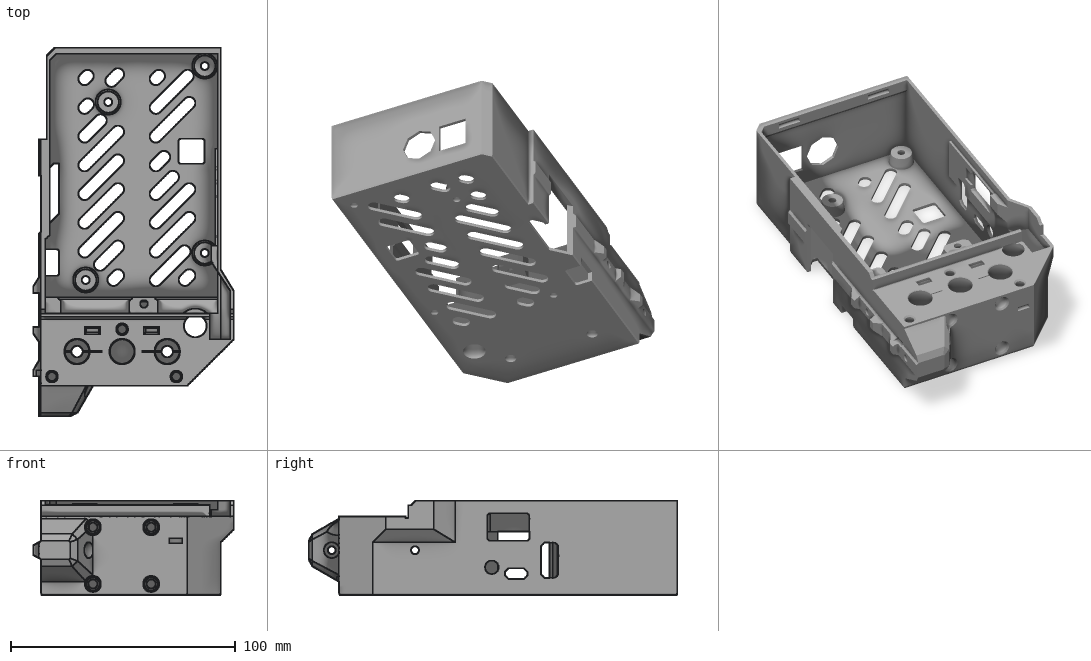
import cadquery as cq
import math

WIDTH = 80.0
BACK = 150.44
HEIGHT = 42.0
BLOCK_TOP = 35.0
FLOOR = 1.5
WALL = 1.5
CLEAR = 1.0
RIGHT_INNER = WIDTH - WALL

FOOT_HEIGHT = 1.0
FOOT_INSET = 0.3

STEP_X = 2.5
STEP_Y = 109.7
BACK_CHAMFER = 3.6
FRONT_CORNER_X = 65.0

THICK_INNER = STEP_X + WALL
THIN_INNER = 2.0
THIN_START_Y = 65.2
CAVITY_FRONT = 39.5
BACK_RIM = 2.8
BACK_INNER = BACK - BACK_RIM
INNER_CHAMFER = 2.8

CROSS_WALL_TOP = 40.0
CROSS_WALL_FRONT = 30.7
CROSS_WALL_BACK = 32.3
CROSS_WALL_END_X = 75.0
SEAT_GROOVE_WIDTH = 1.1
SEAT_GROOVE_DEPTH = 0.6
WALL_END_Y = 34.0

RAMP_FOOT_Y = 38.5
TAB_TOP = 38.5
TAB_LIP = 6.0
TAB_CHAMFER = 1.7
TAB_HOLE_DEPTH = 8.0

CABLE_HOLE = (68.6, 26.7)
CABLE_HOLE_DIAMETER = 10.0
CABLE_BOSS_DIAMETER = 15.4

POCKET_MIDDLE_X = 36.1
POCKET_ROW_Y = 15.3
POCKET_SPACING = 20.05
POCKET_DEPTH = 12.0

FLARE_X = 85.8
FLARE_INNER_X = 84.2
FLARE_START_Y = 51.7
FLARE_FULL_Y = 42.2
PAD_DEPTH = 1.0
PAD_FRONT = 62.4
PAD_BACK = 105.4
RIB_X = 75.6
RIB_CORNER_Y = 55.4
FLARE_INNER_SLOPE = (RIB_CORNER_Y - FLARE_FULL_Y) / (FLARE_INNER_X - RIB_X)
RIB_FRONT = FLARE_FULL_Y + FLARE_INNER_SLOPE * (FLARE_INNER_X - RIGHT_INNER)
FLARE_FRONT_Y = FLARE_X - FRONT_CORNER_X
FLARE_BOTTOM = 23.5
FLARE_FLOOR = 25.7
RAMP_TOP = FLARE_FLOOR + 0.4

RAIL_Z = 20.0
RAIL_DEPTH = 0.9
RAIL_ROOT = 8.2
RAIL_FACE = 6.4
RAIL_BACK_END = 93.5
RAIL_FRONT_START = 68.6
NOSE_LENGTH = 13.5
NOSE_ROOT_WIDTH = 23.1
TOOTH_X = -3.5
TOOTH_TIP_HEIGHT = 4.2
TEETH = [(48.3, 44.2, 41.3), (19.6, 23.4, 26.3), (11.3, 7.0, 4.3)]

WINDOW_TOP = 28.2
FLOOR_OPENING_X = 8.0
FLOOR_OPENING_RADIUS = 1.0

SLOT_WIDTH = 5.4
SLOT_PITCH = 12.77
SLOT_FIRST_Y = 34.3

SCREW_HOLE = 3.4
STANDOFFS = [(72.8, 142.2), (29.9, 126.2), (72.8, 59.1), (19.9, 47.1)]
STANDOFF_TOP = 6.8
STANDOFF_BASE_DIAMETER = 11.2
STANDOFF_TOP_DIAMETER = 9.4

UP = (0, 0, 1)
DOWN = (0, 0, -1)
RIGHTWARD = (1, 0, 0)
REARWARD = (0, 1, 0)


def block(x, y, z):
    """Axis-parallel box given by its (low, high) pair along each axis."""
    size = (x[1] - x[0], y[1] - y[0], z[1] - z[0])
    return cq.Workplane("XY").box(*size, centered=False).translate((x[0], y[0], z[0]))


def prism_z(points, z0, z1):
    """Prism over an XY outline."""
    return cq.Workplane("XY").workplane(offset=z0).polyline(points).close().extrude(z1 - z0)


def prism_x(points, x0, x1):
    """Prism along X over a YZ outline."""
    return cq.Workplane("YZ").workplane(offset=x0).polyline(points).close().extrude(x1 - x0)


def prism_y(points, y0, y1):
    """Prism along Y over an XZ outline."""
    return cq.Workplane("XZ").workplane(offset=-y0).polyline(points).close().extrude(y0 - y1)


def rod(start, direction, diameter, length):
    """Cylinder that starts at a point and runs along a direction."""
    return cq.Workplane(cq.Solid.makeCylinder(
        diameter / 2, length, cq.Vector(*start), cq.Vector(*direction)))


def cone(start, direction, diameter, end_diameter, length):
    """Truncated cone that starts at a point and runs along a direction."""
    return cq.Workplane(cq.Solid.makeCone(
        diameter / 2, end_diameter / 2, length, cq.Vector(*start), cq.Vector(*direction)))


def chamfered_window(y, z, chamfer, x):
    """Window along X with chamfered corners."""
    return block(x, y, z).edges("|X").chamfer(chamfer)


def make_shell():
    outline = [
        (0, 0),
        (FRONT_CORNER_X, 0),
        (WIDTH, WIDTH - FRONT_CORNER_X),
        (WIDTH, BACK),
        (STEP_X + BACK_CHAMFER, BACK),
        (STEP_X, BACK - BACK_CHAMFER),
        (STEP_X, STEP_Y),
        (0, STEP_Y),
    ]
    taper = math.degrees(math.atan2(FOOT_INSET, FOOT_HEIGHT))
    foot = (cq.Workplane("XY").workplane(offset=FOOT_HEIGHT).polyline(outline).close()
            .extrude(-FOOT_HEIGHT, taper=taper))
    return prism_z(outline, FOOT_HEIGHT, HEIGHT).union(foot)


def make_cavity():
    shift = THICK_INNER - THIN_INNER
    outline = [
        (THIN_INNER, CAVITY_FRONT),
        (RIGHT_INNER, CAVITY_FRONT),
        (RIGHT_INNER, BACK_INNER),
        (THICK_INNER + INNER_CHAMFER, BACK_INNER),
        (THICK_INNER, BACK_INNER - INNER_CHAMFER),
        (THICK_INNER, THIN_START_Y + shift),
        (THIN_INNER, THIN_START_Y),
    ]
    return prism_z(outline, FLOOR, HEIGHT + CLEAR)


def make_back_recess():
    """Thins the rear wall below its rim; the rim's underside is tapered."""
    recess_top = 34.5
    rim_bottom = 36.4
    profile = [
        (BACK_INNER - CLEAR, FLOOR),
        (BACK - WALL, FLOOR),
        (BACK - WALL, recess_top),
        (BACK_INNER, rim_bottom),
        (BACK_INNER - CLEAR, rim_bottom),
    ]
    return prism_x(profile, THICK_INNER + INNER_CHAMFER, RIGHT_INNER)


def make_flare():
    plan = prism_z([
        (RIGHT_INNER, FLARE_START_Y),
        (WIDTH, FLARE_START_Y),
        (FLARE_X, FLARE_FULL_Y),
        (FLARE_X, FLARE_FRONT_Y),
        (WIDTH, WIDTH - FRONT_CORNER_X),
        (RIGHT_INNER, WIDTH - FRONT_CORNER_X),
    ], 0, HEIGHT)
    section = prism_y([
        (RIGHT_INNER, FLARE_BOTTOM),
        (WIDTH, FLARE_BOTTOM),
        (FLARE_X, FLARE_BOTTOM + FLARE_X - WIDTH),
        (FLARE_X, HEIGHT),
        (RIGHT_INNER, HEIGHT),
    ], 0, FLARE_START_Y)
    return plan.intersect(section)


def make_flare_channel():
    """Cable channel inside the flare, with a sloped floor on its right."""
    plan = prism_z([
        (CROSS_WALL_END_X, FLARE_FRONT_Y),
        (FLARE_INNER_X, FLARE_FRONT_Y),
        (FLARE_INNER_X, FLARE_FULL_Y),
        (RIGHT_INNER, RIB_FRONT),
        (RIGHT_INNER, CROSS_WALL_BACK),
        (CROSS_WALL_END_X, CROSS_WALL_BACK),
    ], 0, HEIGHT + CLEAR)
    section = prism_y([
        (CROSS_WALL_END_X, FLARE_FLOOR),
        (WIDTH, FLARE_FLOOR),
        (FLARE_INNER_X, FLARE_FLOOR + FLARE_INNER_X - WIDTH),
        (FLARE_INNER_X, HEIGHT + CLEAR),
        (CROSS_WALL_END_X, HEIGHT + CLEAR),
    ], 0, RIB_FRONT)
    return plan.intersect(section)


def make_front_trim():
    """Removes everything above the stepped top of the front part."""
    drop = HEIGHT - CROSS_WALL_TOP
    groove_floor = BLOCK_TOP - SEAT_GROOVE_DEPTH
    groove_front = CROSS_WALL_FRONT - SEAT_GROOVE_WIDTH
    profile = [
        (WALL_END_Y, HEIGHT),
        (WALL_END_Y - drop, CROSS_WALL_TOP),
        (CROSS_WALL_FRONT, CROSS_WALL_TOP),
        (CROSS_WALL_FRONT, groove_floor),
        (groove_front, groove_floor),
        (groove_front, BLOCK_TOP),
        (-CLEAR, BLOCK_TOP),
        (-CLEAR, HEIGHT + CLEAR),
        (WALL_END_Y, HEIGHT + CLEAR),
    ]
    return prism_x(profile, -CLEAR, FLARE_X + CLEAR)


def make_ramp_cut():
    """Clears the space above the ramp behind the cross wall."""
    ramp_foot_z = RAMP_TOP - (RAMP_FOOT_Y - CROSS_WALL_BACK)
    profile = [
        (CROSS_WALL_BACK, RAMP_TOP),
        (RAMP_FOOT_Y, ramp_foot_z),
        (CAVITY_FRONT, ramp_foot_z),
        (CAVITY_FRONT, HEIGHT + CLEAR),
        (CROSS_WALL_BACK, HEIGHT + CLEAR),
    ]
    return prism_x(profile, THIN_INNER, RIGHT_INNER)


def make_cable_boss():
    """Part of the thickened wall around the cable hole that stands out of the ramp."""
    ramp_bottom = RAMP_TOP - (CAVITY_FRONT - CROSS_WALL_BACK)
    boss = rod((*CABLE_HOLE, ramp_bottom), UP, CABLE_BOSS_DIAMETER, BLOCK_TOP - ramp_bottom)
    return boss.intersect(block((0, RIGHT_INNER), (CROSS_WALL_BACK, CAVITY_FRONT), (0, HEIGHT)))


def make_lid_tab(x0, x1, chamfered_edges):
    """Lid support bracketed off the cross wall, with a 45 degree underside."""
    lip_bottom = TAB_TOP - TAB_LIP
    profile = [
        (CROSS_WALL_BACK, TAB_TOP),
        (CAVITY_FRONT, TAB_TOP),
        (CAVITY_FRONT, lip_bottom),
        (CROSS_WALL_BACK, lip_bottom - (CAVITY_FRONT - CROSS_WALL_BACK)),
    ]
    return prism_x(profile, x0, x1).edges(chamfered_edges).chamfer(TAB_CHAMFER)


def make_lid_tabs():
    """Left and middle lid tabs, the middle one with a screw hole."""
    left_end = 8.9
    middle_start = 39.3
    middle_end = 52.0
    hole_x = 45.8
    hole_y = 36.5
    left = make_lid_tab(THIN_INNER, left_end, "|Z and >X and >Y")
    middle = make_lid_tab(middle_start, middle_end, "|Z and >Y")
    hole = rod((hole_x, hole_y, TAB_TOP), DOWN, SCREW_HOLE, TAB_HOLE_DEPTH)
    return left.union(middle.cut(hole))


def make_rail(y0, y1):
    """Trapezoidal rail on the left face."""
    root = RAIL_ROOT / 2
    face = RAIL_FACE / 2
    return prism_y([
        (CLEAR, RAIL_Z - root),
        (0, RAIL_Z - root),
        (-RAIL_DEPTH, RAIL_Z - face),
        (-RAIL_DEPTH, RAIL_Z + face),
        (0, RAIL_Z + root),
        (CLEAR, RAIL_Z + root),
    ], y0, y1)


def make_tooth(slope_y, tip_y, end_y):
    """Rail tooth: a slope out to a narrow tip that ends in a square shoulder."""
    plan = prism_z([
        (0, slope_y),
        (-RAIL_DEPTH, slope_y),
        (TOOTH_X, tip_y),
        (TOOTH_X, end_y),
        (0, end_y),
    ], 0, HEIGHT)
    root = RAIL_ROOT / 2
    tip = TOOTH_TIP_HEIGHT / 2
    section = prism_y([
        (0, RAIL_Z - root),
        (TOOTH_X, RAIL_Z - tip),
        (TOOTH_X, RAIL_Z + tip),
        (0, RAIL_Z + root),
    ], min(slope_y, end_y), max(slope_y, end_y))
    return plan.intersect(section)


def make_rail_notch():
    """Small notch in the left wall, just above the foremost tooth."""
    notch_depth = 1.0
    return block((TOOTH_X, notch_depth), (1.3, 7.0), (22.9, 25.3))


def nose_section(y, width, height, chamfer):
    """Closed nose cross-section at a given Y, flat on the left, chamfered on the right."""
    half = height / 2
    corners = [
        (0, -half),
        (width - chamfer, -half),
        (width, -half + chamfer),
        (width, half - chamfer),
        (width - chamfer, half),
        (0, half),
    ]
    points = [cq.Vector(x, y, RAIL_Z + z) for x, z in corners]
    return cq.Wire.makePolygon(points, close=True)


def make_nose():
    shoulder_y = -11.8
    root = nose_section(0, NOSE_ROOT_WIDTH, 28.0, 3.0)
    shoulder = nose_section(shoulder_y, 16.3, 14.4, 2.4)
    tip = nose_section(-NOSE_LENGTH, 13.0, RAIL_ROOT, 0.5)
    rear = cq.Solid.makeLoft([root, shoulder], True)
    front = cq.Solid.makeLoft([shoulder, tip], True)
    return cq.Workplane(rear).union(cq.Workplane(front))


def make_side_holes():
    """Two cross holes through the rail; the nose one has a counterbore from the right."""
    nose_y = -3.2
    start = -CLEAR + TOOTH_X
    long_hole = rod((start, 33.8, RAIL_Z), RIGHTWARD, SCREW_HOLE, FLARE_X - start + CLEAR)
    nose_hole = rod((start, nose_y, RAIL_Z), RIGHTWARD, SCREW_HOLE, WIDTH)
    counterbore_x = 12.0
    counterbore = rod((counterbore_x, nose_y, RAIL_Z), RIGHTWARD, 7.0, NOSE_ROOT_WIDTH - counterbore_x)
    return long_hole.union(nose_hole).union(counterbore)


def make_left_window():
    """Opening from the underside up through the left wall and the floor edge behind it,
    with 45 degree ends and a thin lip left standing at the rear."""
    outer_x = -CLEAR - RAIL_DEPTH
    rear_y = 98.8
    rear_slant_x = 5.7
    floor_edge = FLOOR_OPENING_X
    plan = [
        (outer_x, RAIL_FRONT_START + outer_x),
        (THICK_INNER, RAIL_FRONT_START + THICK_INNER),
        (THICK_INNER, rear_y - rear_slant_x + THICK_INNER),
        (THIN_INNER, rear_y - rear_slant_x + THIN_INNER),
        (THIN_INNER, RAIL_BACK_END),
        (outer_x, RAIL_BACK_END),
    ]
    floor_plan = [
        (THIN_INNER, RAIL_FRONT_START + THIN_INNER),
        (floor_edge, RAIL_FRONT_START + floor_edge),
        (floor_edge, rear_y),
        (rear_slant_x, rear_y),
        (THIN_INNER, rear_y - rear_slant_x + THIN_INNER),
    ]
    pocket = block((THIN_INNER, THICK_INNER), (THIN_START_Y, RAIL_BACK_END), (FLOOR, WINDOW_TOP))
    window = prism_z(plan, -CLEAR, WINDOW_TOP)
    return window.union(pocket).union(prism_z(floor_plan, -CLEAR, FLOOR + CLEAR))


def make_front_notch():
    """Floor opening that also cuts through the foot of the left wall."""
    y = (49.0, 60.7)
    floor_cut = block((THIN_INNER, FLOOR_OPENING_X), y, (-CLEAR, FLOOR + CLEAR))
    floor_cut = floor_cut.edges("|Z and >X").fillet(FLOOR_OPENING_RADIUS)
    notch_top = 5.0
    return floor_cut.union(block((-CLEAR, THIN_INNER), y, (-CLEAR, notch_top)))


def make_right_wall_pad():
    """Raised pad on the inside of the right wall, chamfered along its lower edge."""
    pad_bottom = 17.2
    pad_top = 37.4
    overlap = RIGHT_INNER + WALL / 2
    return prism_y([
        (overlap, pad_bottom),
        (RIGHT_INNER, pad_bottom),
        (RIGHT_INNER - PAD_DEPTH, pad_bottom + PAD_DEPTH / 2),
        (RIGHT_INNER - PAD_DEPTH, pad_top),
        (overlap, pad_top),
    ], PAD_FRONT, PAD_BACK)


def make_right_wall_rib():
    """Stub on the inside of the right wall that leads into the flare."""
    overlap = RIGHT_INNER + WALL / 2
    plan = prism_z([
        (overlap, PAD_FRONT),
        (RIB_X, PAD_FRONT),
        (RIB_X, RIB_CORNER_Y),
        (RIGHT_INNER, RIB_FRONT),
        (overlap, RIB_FRONT),
    ], 0, HEIGHT)
    rib_top = 38.0
    rib_edge = 32.0
    section = prism_y([
        (overlap, rib_top),
        (RIB_X, rib_top),
        (RIB_X, rib_edge),
        (RIGHT_INNER, rib_edge - (RIGHT_INNER - RIB_X)),
        (overlap, rib_edge - (RIGHT_INNER - RIB_X)),
    ], RIB_FRONT, PAD_FRONT)
    return plan.intersect(section)


def make_right_wall_openings():
    """Connector windows through the right wall and a shallow recess beside the wide one."""
    through = (RIB_X, WIDTH + CLEAR)
    wide_back = 84.6
    tall = chamfered_window((89.9, 97.5), (7.7, 23.4), 1.5, through)
    wide = chamfered_window((66.0, wide_back), (24.2, 36.4), 0.8, through)
    oblong = chamfered_window((73.9, 83.7), (7.2, 11.9), 1.5, through)
    recess = block((RIGHT_INNER - PAD_DEPTH, RIGHT_INNER), (wide_back, 90.0), (27.2, 34.0))
    hole_y = 67.9
    hole_z = 12.4
    hole_diameter = 6.0
    round_hole = rod((RIB_X, hole_y, hole_z), RIGHTWARD, hole_diameter, WIDTH)
    return tall.union(wide).union(oblong).union(recess).union(round_hole)


def make_back_openings():
    """Octagonal and rectangular panel openings in the rear wall."""
    octagon_x = 36.9
    octagon_z = 16.0
    octagon_width = 14.6
    sides = 8
    octagon = (cq.Workplane("XZ").workplane(offset=-BACK_INNER).center(octagon_x, octagon_z)
               .transformed(rotate=(0, 0, 180 / sides))
               .polygon(sides, octagon_width, circumscribed=True)
               .extrude(-BACK_RIM - CLEAR))
    rectangle = block((14.0, 27.0), (BACK_INNER, BACK + CLEAR), (9.0, 23.0))
    return octagon.union(rectangle)


def make_lid_slots():
    """Two blind slots in the rim of the rear wall that hold the lid."""
    slot_length = 10.7
    slot_y = (BACK_INNER, BACK_INNER + 2.0)
    slot_z = (38.2, 40.7)
    left, right = [block((x, x + slot_length), slot_y, slot_z) for x in (14.2, 59.0)]
    return left.union(right)


def make_vent_slots():
    """Two columns of 45 degree slots on a common pitch; each entry gives the row number
    and the X distance of the first and last arc centre from the column's left side."""
    full = 14.8
    left_x = 19.4
    right_x = 51.1
    left_column = [(0, 12.9, full), (1, 6.9, full), (2, 0, full), (3, 0, full), (4, 0, full),
                   (5, 0, full), (6, 0, 7.1), (7, 0, 1.4), (7, 12.0, full), (8, 0, 1.3)]
    right_column = [(0, 12.9, full), (1, 0, 12.7), (2, 0, full), (3, 0, full), (4, 0, 7.5),
                    (5, 0, 3.6), (6, 0, full), (7, 0, 14.1), (8, 0, 1.3)]
    cuts = cq.Workplane("XY")
    for column_x, column in ((left_x, left_column), (right_x, right_column)):
        for row, first, last in column:
            middle = (first + last) / 2
            centre = (column_x + middle, SLOT_FIRST_Y + row * SLOT_PITCH + middle)
            length = (last - first) * math.sqrt(2) + SLOT_WIDTH
            slot = (cq.Workplane("XY").workplane(offset=-CLEAR).center(*centre)
                    .slot2D(length, SLOT_WIDTH, 45).extrude(FLOOR + 2 * CLEAR))
            cuts = cuts.add(slot)
    return cuts.combine()


def make_floor_window():
    """Rounded rectangular opening in the floor."""
    window = block((61.2, 72.7), (98.8, 109.8), (-CLEAR, FLOOR + CLEAR))
    return window.edges("|Z").fillet(FLOOR_OPENING_RADIUS)


def make_standoffs():
    posts = cq.Workplane("XY")
    for x, y in STANDOFFS:
        posts = posts.add(cone((x, y, FLOOR), UP, STANDOFF_BASE_DIAMETER, STANDOFF_TOP_DIAMETER,
                               STANDOFF_TOP - FLOOR))
    inside = block((0, RIGHT_INNER + WALL / 2), (0, BACK), (0, HEIGHT))
    return posts.combine().intersect(inside)


def make_standoff_holes():
    holes = cq.Workplane("XY")
    for x, y in STANDOFFS:
        holes = holes.add(rod((x, y, -CLEAR), UP, SCREW_HOLE, STANDOFF_TOP + 2 * CLEAR))
    return holes.combine()


def make_round_pockets():
    """Three blind pockets; the outer two continue as through holes crossed by a thin slit."""
    pocket = 10.8
    rim = 11.4
    rim_depth = (rim - pocket) / 2
    through_hole = 5.0
    slit_half = 0.25
    slit_y = (POCKET_ROW_Y - slit_half, POCKET_ROW_Y + slit_half)
    slit_z = (BLOCK_TOP - POCKET_DEPTH - 2.0, BLOCK_TOP)
    slit_near = 9.0
    slit_far = 25.0
    cuts = cq.Workplane("XY")
    for side in (-1, 0, 1):
        centre = (POCKET_MIDDLE_X + side * POCKET_SPACING, POCKET_ROW_Y, BLOCK_TOP)
        cuts = cuts.union(rod(centre, DOWN, pocket, POCKET_DEPTH))
        cuts = cuts.union(cone(centre, DOWN, rim, pocket, rim_depth))
        if side != 0:
            slit_x = sorted(POCKET_MIDDLE_X + side * reach for reach in (slit_near, slit_far))
            cuts = cuts.union(rod(centre, DOWN, through_hole, BLOCK_TOP + CLEAR))
            cuts = cuts.union(block(slit_x, slit_y, slit_z))
    return cuts


def make_top_insert_holes():
    """Three countersunk blind holes in the block top."""
    hole = 4.0
    mouth = 5.3
    depth = 8.0
    mouth_depth = (mouth - hole) / 2
    cuts = cq.Workplane("XY")
    for x, y in ((POCKET_MIDDLE_X, 25.2), (4.9, 4.2), (60.2, 4.2)):
        cuts = cuts.union(rod((x, y, BLOCK_TOP), DOWN, hole, depth))
        cuts = cuts.union(cone((x, y, BLOCK_TOP), DOWN, mouth, hole, mouth_depth))
    return cuts


def make_latch_pockets():
    """Two small rectangular pockets in the block top, narrowing towards the bottom."""
    length = 6.8
    depth = 2.0
    bottom_chamfer = 0.7
    cuts = cq.Workplane("XY")
    for x in (19.5, 45.8):
        pocket = block((x, x + length), (23.1, 26.4), (BLOCK_TOP - depth, BLOCK_TOP))
        cuts = cuts.union(pocket.faces("<Z").chamfer(bottom_chamfer))
    return cuts


def make_cable_hole():
    return rod((*CABLE_HOLE, BLOCK_TOP), DOWN, CABLE_HOLE_DIAMETER, BLOCK_TOP + CLEAR)


def make_block_front_holes():
    """Four counterbored insert holes and a small slot in the front face."""
    mouth = 7.2
    bore = 5.8
    hole = 4.0
    bore_depth = 8.0
    hole_depth = 14.0
    mouth_depth = (mouth - bore) / 2
    slot_depth = 2.0
    cuts = block((57.0, 62.8), (0, slot_depth), (23.0, 25.3))
    for x in (23.1, 49.0):
        for z in (5.0, 30.2):
            cuts = cuts.union(rod((x, -NOSE_LENGTH, z), REARWARD, mouth, NOSE_LENGTH))
            cuts = cuts.union(cone((x, 0, z), REARWARD, mouth, bore, mouth_depth))
            cuts = cuts.union(rod((x, 0, z), REARWARD, bore, bore_depth))
            cuts = cuts.union(rod((x, 0, z), REARWARD, hole, hole_depth))
    return cuts


body = make_shell().cut(make_cavity()).cut(make_back_recess())
body = body.cut(make_ramp_cut()).union(make_lid_tabs()).union(make_cable_boss())
body = body.union(make_flare()).cut(make_flare_channel()).cut(make_front_trim())
body = body.union(make_right_wall_pad()).union(make_right_wall_rib())
body = body.union(make_standoffs())

body = body.union(make_nose())
body = body.union(make_rail(RAIL_BACK_END, STEP_Y)).union(make_rail(-NOSE_LENGTH, RAIL_FRONT_START))
for tooth in TEETH:
    body = body.union(make_tooth(*tooth))
body = body.cut(make_rail_notch())

body = body.cut(make_left_window()).cut(make_front_notch())
body = body.cut(make_right_wall_openings()).cut(make_back_openings()).cut(make_lid_slots())
body = body.cut(make_vent_slots()).cut(make_floor_window()).cut(make_standoff_holes())
body = body.cut(make_round_pockets()).cut(make_top_insert_holes()).cut(make_latch_pockets())
body = body.cut(make_cable_hole()).cut(make_block_front_holes()).cut(make_side_holes())

result = body